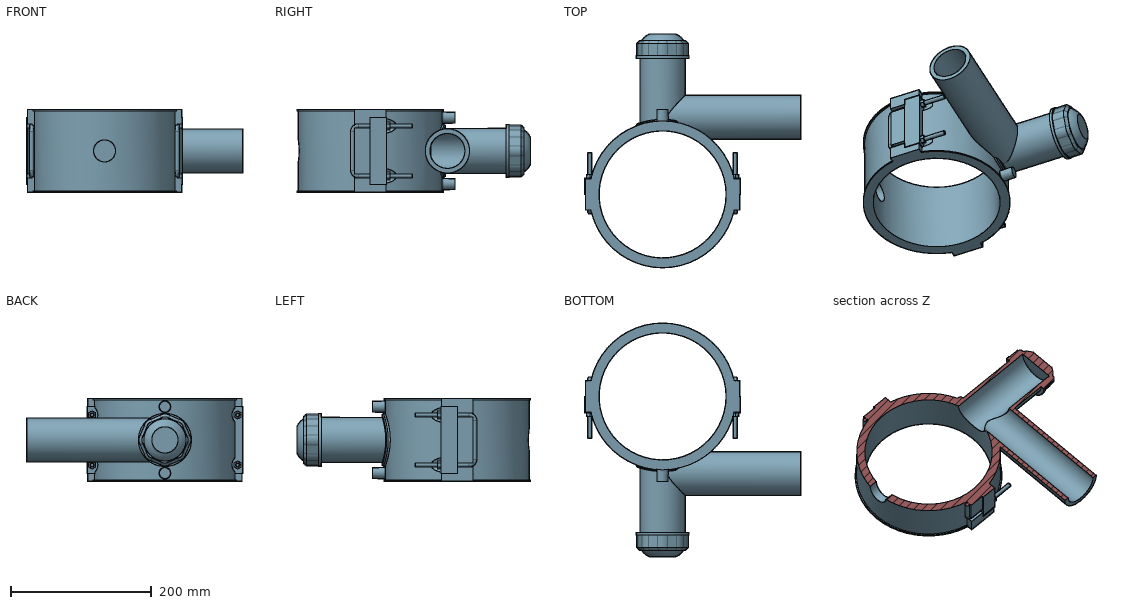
import cadquery as cq
import math

height = 118.0
bore_radius = 90.0
body_radius = 102.5
rim_radius = 104.5
rim_thickness = 2.0
front_hole_diameter = 31.3

lug_reach = 109.8
lug_depth = 22.3
plate_thickness = 1.0
plate_height = 94.8
plate_reach = lug_reach + plate_thickness
plate_depth = lug_depth + plate_thickness

bolt_diameter = 6.0
bolt_x = 103.5
bolt_leg_z = 35.5
bolt_bend_radius = 8.0
bolt_end_y = 60.0
bolt_bar_overlap = 0.3
bolt_bar_y = -lug_depth - bolt_diameter / 2 + bolt_bar_overlap
bolt_tip_chamfer = 0.5
lug_recess = 1.0
nut_flats = 10.0
nut_height = 5.0
clearance_radius = 14.3
clearance_x = 109.8
clearance_depth = 26.5

inlet_diameter = 64.5
inlet_bore = 53.0
branch_diameter = 63.0
branch_bore = 49.5
branch_y = 109.8
branch_end_x = 196.5
saddle_diameter = 75.5
saddle_radius = 106.8
saddle_chamfer = 1.5

cap_start_y = 193.3
cap_flange_diameter = saddle_diameter
cap_flange_end_y = 197.3
grip_end_y = 214.5
dome_start_y = 219.0
cap_end_y = 228.2
grip_count = 8
grip_corner_radius = 35.5
grip_crest_radius = 37.0
shoulder_inset = 4.0
dome_base_radius = 30.0
dome_middle_radius = 23.5
dome_middle_y = 225.5
dome_flat_radius = 18.5

boss_z = 47.2
boss_end_y = 120.8
boss_tip_diameter = 15.5
boss_root_diameter = 16.5
boss_root_y = 103.0
boss_sunk_y = 96.5


def cylinder_z(radius, length):
    """Cylinder about the Z axis, centred on z = 0."""
    return cq.Workplane("XY").circle(radius).extrude(length / 2, both=True)


def cylinder_y(diameter, start_y, end_y, x=0, z=0):
    """Cylinder parallel to Y between two y positions."""
    plane = cq.Plane(origin=(x, start_y, z), xDir=(1, 0, 0), normal=(0, 1, 0))
    return cq.Workplane(plane).circle(diameter / 2).extrude(end_y - start_y)


def cylinder_x(diameter, end_x):
    """Cylinder on the branch axis, starting at the inlet axis."""
    return cq.Workplane("YZ").center(branch_y, 0).circle(diameter / 2).extrude(end_x)


def box_between(low, high):
    """Axis-aligned box from its lowest to its highest corner."""
    size = [b - a for a, b in zip(low, high)]
    return cq.Workplane("XY").box(*size, centered=False).translate(low)


def make_ring():
    """Ring body with a thin raised rim at the top and bottom, still without its bore."""
    ring = cylinder_z(body_radius, height)
    rim_middle = (height - rim_thickness) / 2
    for side in (-1, 1):
        rim = cylinder_z(rim_radius, rim_thickness)
        ring = ring.union(rim.translate((0, 0, side * rim_middle)))
    return ring


def make_lugs():
    """Lug pair on the +X side: plated rear lug and recessed front lug."""
    lugs = box_between((bore_radius, -lug_depth, -height / 2), (lug_reach, lug_depth, height / 2))
    plate = box_between((bore_radius, 0, -plate_height / 2), (plate_reach, plate_depth, plate_height / 2))
    recess_top = bolt_leg_z + bolt_diameter / 2
    recess = box_between((lug_reach - lug_recess, -lug_depth, -recess_top), (lug_reach, 0, recess_top))
    lugs = lugs.cut(recess)
    for side in (-1, 1):
        middle = side * bolt_leg_z
        slot = box_between(
            (bolt_x, -lug_depth, middle - bolt_diameter / 2),
            (lug_reach, 0, middle + bolt_diameter / 2),
        )
        lugs = lugs.cut(slot)
    return lugs.union(plate)


def make_bolt():
    """U-bolt on the +X side, with its bar across the front lug."""
    bend_y = bolt_bar_y + bolt_bend_radius
    bar_half = bolt_leg_z - bolt_bend_radius
    middle_offset = bolt_bend_radius * (1 - math.sqrt(0.5))
    plane = cq.Plane(origin=(bolt_x, 0, 0), xDir=(0, 1, 0), normal=(1, 0, 0))
    path = (
        cq.Workplane(plane)
        .moveTo(bolt_end_y, bolt_leg_z)
        .lineTo(bend_y, bolt_leg_z)
        .threePointArc((bolt_bar_y + middle_offset, bolt_leg_z - middle_offset), (bolt_bar_y, bar_half))
        .lineTo(bolt_bar_y, -bar_half)
        .threePointArc((bolt_bar_y + middle_offset, middle_offset - bolt_leg_z), (bend_y, -bolt_leg_z))
        .lineTo(bolt_end_y, -bolt_leg_z)
    )
    start = cq.Plane(origin=(bolt_x, bolt_end_y, bolt_leg_z), xDir=(1, 0, 0), normal=(0, -1, 0))
    bolt = cq.Workplane(start).circle(bolt_diameter / 2).sweep(path)
    return bolt.faces(">Y").chamfer(bolt_tip_chamfer)


def make_nuts():
    """Hexagonal nuts on both legs of the +X U-bolt, seated on the cover plate."""
    nuts = cq.Workplane("XY")
    corner_diameter = nut_flats / math.cos(math.pi / 6)
    for side in (-1, 1):
        seat = cq.Plane(
            origin=(bolt_x, plate_depth, side * bolt_leg_z), xDir=(0, 0, 1), normal=(0, 1, 0)
        )
        nuts = nuts.add(cq.Workplane(seat).polygon(6, corner_diameter).extrude(nut_height))
    return nuts.combine()


def make_nut_clearance():
    """Cutters on the +X side that free the ring surface around both nuts."""
    cutters = cq.Workplane("XY")
    for side in (-1, 1):
        cutters = cutters.add(
            cylinder_y(
                2 * clearance_radius, plate_depth, plate_depth + clearance_depth,
                x=clearance_x, z=side * bolt_leg_z,
            )
        )
    return cutters.combine()


def make_saddle():
    """Curved pad on the ring around the root of the inlet pipe."""
    pad = cylinder_z(saddle_radius, height).intersect(cylinder_y(saddle_diameter, 0, saddle_radius))
    return pad.faces(">Y").chamfer(saddle_chamfer)


def make_cap():
    """Screw cap: flange, grip with alternating crests and flats, shoulder and dome."""
    flange = cylinder_y(cap_flange_diameter, cap_start_y, cap_flange_end_y)

    step = math.pi / grip_count

    def polar(radius, angle):
        return (radius * math.cos(angle), radius * math.sin(angle))

    plane = cq.Plane(origin=(0, cap_flange_end_y, 0), xDir=(1, 0, 0), normal=(0, 1, 0))
    grip = cq.Workplane(plane).moveTo(*polar(grip_corner_radius, -step / 2))
    for index in range(grip_count):
        crest = 2 * step * index
        grip = grip.threePointArc(
            polar(grip_crest_radius, crest), polar(grip_corner_radius, crest + step / 2)
        )
        if index < grip_count - 1:
            grip = grip.lineTo(*polar(grip_corner_radius, crest + 1.5 * step))
    grip = grip.close().extrude(dome_start_y - cap_flange_end_y)
    grip = grip.faces(">Y").chamfer(dome_start_y - grip_end_y, shoulder_inset)

    dome = (
        cq.Workplane("XY")
        .moveTo(0, dome_start_y)
        .lineTo(dome_base_radius, dome_start_y)
        .threePointArc((dome_middle_radius, dome_middle_y), (dome_flat_radius, cap_end_y))
        .lineTo(0, cap_end_y)
        .close()
        .revolve(360, (0, 0, 0), (0, 1, 0))
    )
    return flange.union(grip).union(dome)


def make_boss():
    """Boss above the inlet pipe, tapering towards its tip."""
    plane = cq.Plane(origin=(0, boss_root_y, boss_z), xDir=(1, 0, 0), normal=(0, 1, 0))
    tip = (
        cq.Workplane(plane)
        .circle(boss_root_diameter / 2)
        .workplane(offset=boss_end_y - boss_root_y)
        .circle(boss_tip_diameter / 2)
        .loft()
    )
    return tip.union(cylinder_y(boss_root_diameter, boss_sunk_y, boss_root_y, z=boss_z))


def both_sides(shape):
    """The shape together with its mirror image across x = 0."""
    return shape.union(shape.mirror("YZ"))


body = make_ring().cut(both_sides(make_nut_clearance()))
body = body.union(both_sides(make_lugs()))
body = body.union(both_sides(make_bolt().union(make_nuts())))
body = body.union(make_saddle())
body = body.union(cylinder_y(inlet_diameter, 0, cap_start_y))
body = body.union(cylinder_x(branch_diameter, branch_end_x))
body = body.union(make_cap())
boss = make_boss()
body = body.union(boss).union(boss.mirror("XY"))

body = body.cut(cylinder_z(bore_radius, height))
body = body.cut(cylinder_y(inlet_bore, 0, grip_end_y))
body = body.cut(cylinder_x(branch_bore, branch_end_x))
result = body.cut(cylinder_y(front_hole_diameter, -rim_radius, 0))